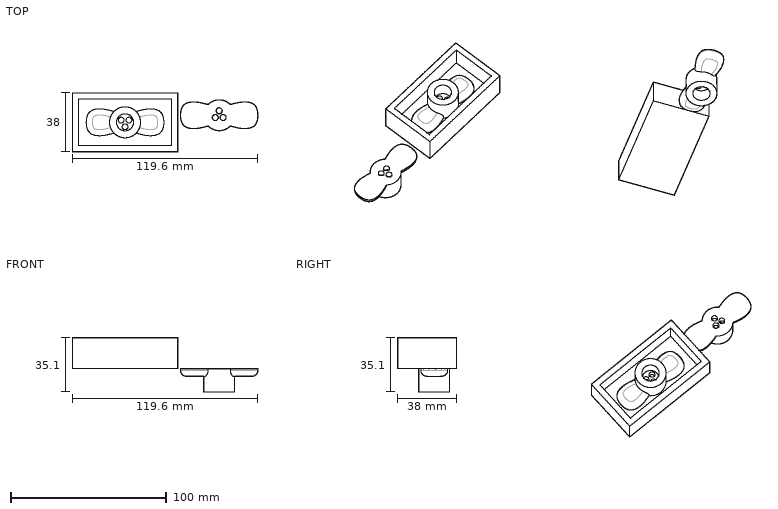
import cadquery as cq
import math

TRAY_LENGTH = 68.0
TRAY_WIDTH = 38.0
TRAY_HEIGHT = 20.0
TRAY_WALL = 4.0

HUB_DIAMETER = 20.0
HUB_HEIGHT = 15.1
TRAY_FLOOR = TRAY_HEIGHT - HUB_HEIGHT
KNOB_LENGTH = 50.0
WING_THICKNESS = 5.0
WING_EDGE_RADIUS = 4.0
BORE_DIAMETER = 11.0
BORE_DEPTH = HUB_HEIGHT - WING_THICKNESS
SMALL_HOLE_DIAMETER = 3.7
SMALL_HOLE_SPACING = 5.0
SMALL_HOLE_COUNT = 3

WING_ROOT_X = 3.6
WING_ROOT_HALF_WIDTH = 6.2
NECK_X = 7.2
NECK_HALF_WIDTH = 7.0
WIDEST_X = 16.7
WING_HALF_WIDTH = 8.67
SHOULDER_X = 22.5
SHOULDER_HALF_WIDTH = 6.9
TIP_X = KNOB_LENGTH / 2

OVERALL_LENGTH = 119.6
LOOSE_KNOB_X = OVERALL_LENGTH - TRAY_LENGTH / 2 - KNOB_LENGTH / 2
LOOSE_KNOB_Y = 4.5


def make_tray():
    tray = cq.Workplane("XY").box(TRAY_LENGTH, TRAY_WIDTH, TRAY_HEIGHT, centered=(True, True, False))
    cavity = (
        cq.Workplane("XY")
        .workplane(offset=TRAY_FLOOR)
        .rect(TRAY_LENGTH - 2 * TRAY_WALL, TRAY_WIDTH - 2 * TRAY_WALL)
        .extrude(TRAY_HEIGHT - TRAY_FLOOR)
    )
    return tray.cut(cavity)


def make_wing():
    """The +X wing, with its lower edge rounded all the way along the curved outline."""
    upper_half = [
        (WING_ROOT_X, WING_ROOT_HALF_WIDTH),
        (NECK_X, NECK_HALF_WIDTH),
        (WIDEST_X, WING_HALF_WIDTH),
        (SHOULDER_X, SHOULDER_HALF_WIDTH),
        (TIP_X, 0),
    ]
    lower_half = [(x, -y) for x, y in reversed(upper_half[:-1])]
    outline = upper_half + lower_half
    wing = (
        cq.Workplane("XY")
        .moveTo(*outline[0])
        .spline(outline[1:], includeCurrent=True)
        .close()
        .extrude(-WING_THICKNESS)
    )
    return wing.faces("<Z").edges("not |Y").fillet(WING_EDGE_RADIUS)


def make_knob():
    knob = cq.Workplane("XY").circle(HUB_DIAMETER / 2).extrude(-HUB_HEIGHT)
    wing = make_wing()
    knob = knob.union(wing).union(wing.mirror("YZ"))

    bore = (
        cq.Workplane("XY")
        .workplane(offset=-HUB_HEIGHT)
        .circle(BORE_DIAMETER / 2)
        .extrude(BORE_DEPTH)
    )
    hole_circle_radius = SMALL_HOLE_SPACING / math.sqrt(3)
    small_holes = (
        cq.Workplane("XY")
        .polarArray(hole_circle_radius, 90, 360, SMALL_HOLE_COUNT)
        .circle(SMALL_HOLE_DIAMETER / 2)
        .extrude(-HUB_HEIGHT)
    )
    return knob.cut(bore).cut(small_holes)


tray = make_tray()

knob_placements = [
    (180, (0, 0, TRAY_FLOOR)),
    (0, (LOOSE_KNOB_X, LOOSE_KNOB_Y, 0)),
]
knobs = []
for turn_about_x, position in knob_placements:
    knob = make_knob().rotate((0, 0, 0), (1, 0, 0), turn_about_x).translate(position)
    knobs.append(knob.val())

result = cq.Compound.makeCompound([tray.val(), *knobs])